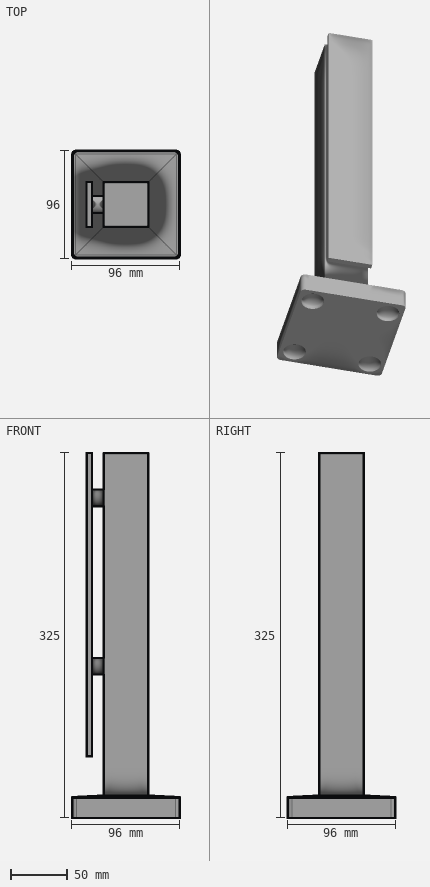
import cadquery as cq

total_height = 325.0
overlap = 0.3

cover_width = 96.0
cover_eave_height = 19.0
cover_peak_height = 20.0
cover_corner_radius = 4.0
cover_rim_radius = 1.0
cover_ledge_width = 3.0
cover_wall = 1.0

flange_width = cover_width - 2 * cover_wall
flange_height = cover_eave_height - cover_wall
flange_corner_radius = cover_corner_radius - cover_wall
anchor_hole_diameter = 20.0
anchor_hole_offset = 34.5

post_width = 40.0
post_edge_radius = 1.0

plate_thickness = 5.0
plate_height = 270.0
plate_gap = 10.0
pin_diameter = 15.0
pin_top_distance = 40.0
pin_count = 2
pin_pitch = 149.8

post_face_x = -post_width / 2
plate_inner_x = post_face_x - plate_gap


def square_prism(width, height, edge_radius):
    """Upright square prism standing on Z = 0, with rounded vertical edges."""
    prism = cq.Workplane("XY").box(width, width, height, centered=(True, True, False))
    return prism.edges("|Z").fillet(edge_radius)


def make_flange():
    """Square anchor plate with a through hole near each corner."""
    flange = square_prism(flange_width, flange_height, flange_corner_radius)
    hole_pitch = 2 * anchor_hole_offset
    return flange.faces(">Z").workplane().rarray(hole_pitch, hole_pitch, 2, 2).hole(anchor_hole_diameter)


def make_post():
    """Square post with softened long edges and top edges."""
    post = cq.Workplane("XY").box(post_width, post_width, total_height, centered=(True, True, False))
    return post.edges("|Z or >Z").fillet(post_edge_radius)


def make_pin(z):
    """Round pin along X, from inside the post into the clamp plate."""
    return (
        cq.Workplane("YZ", origin=(plate_inner_x - overlap, 0, z))
        .circle(pin_diameter / 2)
        .extrude(plate_gap + 2 * overlap)
    )


def make_clamp_plate():
    """Flat plate as wide as the post, flush with its top."""
    return cq.Workplane("XY").box(plate_thickness, post_width, plate_height).translate(
        (plate_inner_x - plate_thickness / 2, 0, total_height - plate_height / 2)
    )


def make_stand():
    """Flange, post, pins and clamp plate as one welded body."""
    stand = make_flange().union(make_post()).union(make_clamp_plate())
    for index in range(pin_count):
        stand = stand.union(make_pin(total_height - pin_top_distance - index * pin_pitch))
    return stand


def make_cover():
    """Cap that slides down the post and encloses the flange."""
    walls = square_prism(cover_width, cover_eave_height, cover_corner_radius)
    walls = walls.faces(">Z").edges().fillet(cover_rim_radius)
    roof_width = cover_width - 2 * cover_ledge_width
    roof = (
        cq.Workplane("XY", origin=(0, 0, cover_eave_height))
        .rect(roof_width, roof_width)
        .workplane(offset=cover_peak_height - cover_eave_height)
        .rect(post_width, post_width)
        .loft(ruled=True)
    )
    cover = walls.union(roof)
    recess = square_prism(flange_width, flange_height, flange_corner_radius)
    opening = square_prism(post_width, total_height, post_edge_radius)
    return cover.cut(recess).cut(opening)


stand = make_stand()
cover = make_cover()

result = cq.Compound.makeCompound([stand.val(), cover.val()])